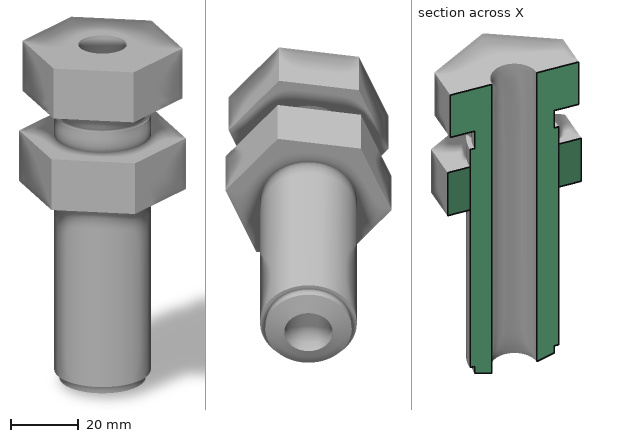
import cadquery as cq
import math

total_length = 107.3
bore_diameter = 14.3

head_across_flats = 41.2
head_height = 15.9
neck_diameter = 25.5
neck_height = 6.2
shank_diameter = 28.5
shank_bottom = 4.2
cone_height = 1.6

nut_across_flats = 42.9
nut_height = 16.1
nut_bottom = 62.6

head_bottom = total_length - head_height
shank_top = head_bottom - neck_height


def hexagon_prism(across_flats, bottom, height):
    """Hexagonal prism along Z with two of its corners on the X axis."""
    across_corners = across_flats / math.cos(math.pi / 6)
    return cq.Workplane("XY").workplane(offset=bottom).polygon(6, across_corners).extrude(height)


def cylinder(diameter, bottom, height):
    return cq.Workplane("XY").workplane(offset=bottom).circle(diameter / 2).extrude(height)


def make_bolt():
    """Bored bolt; its turned part is one revolved half-profile below the head."""
    bore_radius = bore_diameter / 2
    neck_radius = neck_diameter / 2
    shank_radius = shank_diameter / 2
    turned_part = (
        cq.Workplane("XZ")
        .moveTo(bore_radius, 0)
        .lineTo(neck_radius, cone_height)
        .lineTo(neck_radius, shank_bottom)
        .lineTo(shank_radius, shank_bottom)
        .lineTo(shank_radius, shank_top)
        .lineTo(neck_radius, shank_top)
        .lineTo(neck_radius, head_bottom)
        .lineTo(bore_radius, head_bottom)
        .close()
        .revolve(360, (0, 0, 0), (0, 1, 0))
    )
    head = hexagon_prism(head_across_flats, head_bottom, head_height)
    head = head.cut(cylinder(bore_diameter, head_bottom, head_height))
    return turned_part.union(head)


def make_nut():
    """Hexagonal nut with a plain hole that fits the shank."""
    blank = hexagon_prism(nut_across_flats, nut_bottom, nut_height)
    return blank.cut(cylinder(shank_diameter, nut_bottom, nut_height))


bolt = make_bolt()
nut = make_nut()

result = cq.Compound.makeCompound([bolt.val(), nut.val()])